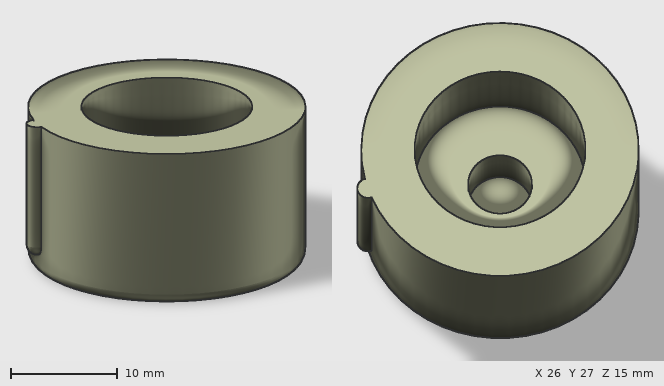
import cadquery as cq

overall_length = 27.0
body_diameter = 26.0
height = 15.0
bottom_fillet = 1.0
recess_diameter = 16.0
recess_depth = 8.0
bore_diameter = 6.0
bore_depth = 5.0
pointer_end_height = 3.0

body_radius = body_diameter / 2
pointer_radius = overall_length - body_diameter


def knob_body():
    """Plain cylinder with a rounded lower edge."""
    return cq.Workplane("XY").circle(body_radius).extrude(height).faces("<Z").edges().fillet(bottom_fillet)


def pointer_rib():
    """Vertical round rib at the -Y wall, with a spherical lower end."""
    base = cq.Workplane("XY", origin=(0, -body_radius, pointer_end_height))
    rod = base.circle(pointer_radius).extrude(height - pointer_end_height)
    return rod.union(base.sphere(pointer_radius))


def blind_hole(diameter, top, depth):
    """Cutter for a flat-bottomed hole on the body axis, starting at height top."""
    return cq.Workplane("XY").workplane(offset=top - depth).circle(diameter / 2).extrude(depth)


recess_floor = height - recess_depth

result = (
    knob_body()
    .union(pointer_rib())
    .cut(blind_hole(recess_diameter, height, recess_depth))
    .cut(blind_hole(bore_diameter, recess_floor, bore_depth))
)